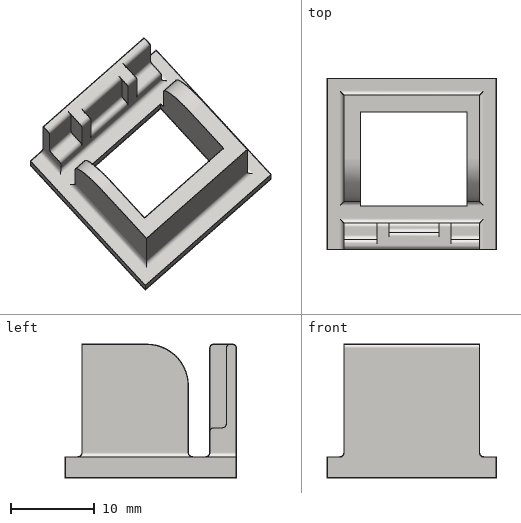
import cadquery as cq

width = 20.25
depth = 20.5
height = 16.0
plate_thickness = 2.52
radius = 0.5

margin = 2.0
housing_front = 5.75
wall_back = 2.03
wall_left = 2.0
wall_right = 1.52
shoulder_radius = 5.0

panel_depth = 3.2
ledge_height = 5.99
side_face = 1.2
centre_face = 2.07
left_rib_start = 5.99
rib_width = 1.41
rib_gap = 5.99

left = -width / 2
wall_x_min = left + margin
wall_x_max = -wall_x_min
wall_y_max = depth - margin
root_top = plate_thickness + radius


def across_section():
    """Wall outline in XZ, flaring into the plate on both sides."""
    outline = (
        cq.Workplane("XZ")
        .moveTo(wall_x_min - radius, 0)
        .lineTo(wall_x_min - radius, plate_thickness)
        .radiusArc((wall_x_min, root_top), -radius)
        .lineTo(wall_x_min, height)
        .lineTo(wall_x_max, height)
        .lineTo(wall_x_max, root_top)
        .radiusArc((wall_x_max + radius, plate_thickness), -radius)
        .lineTo(wall_x_max + radius, 0)
        .close()
    )
    return outline.extrude(-depth)


def make_housing():
    """Walls with rounded front shoulders; crossed prisms give mitred root fillets."""
    side = (
        cq.Workplane("YZ", origin=(left, 0, 0))
        .moveTo(housing_front - radius, 0)
        .lineTo(housing_front - radius, plate_thickness)
        .radiusArc((housing_front, root_top), -radius)
        .lineTo(housing_front, height - shoulder_radius)
        .radiusArc((housing_front + shoulder_radius, height), shoulder_radius)
        .lineTo(wall_y_max, height)
        .lineTo(wall_y_max, root_top)
        .radiusArc((wall_y_max + radius, plate_thickness), -radius)
        .lineTo(wall_y_max + radius, 0)
        .close()
        .extrude(width)
    )
    return side.intersect(across_section())


def make_opening():
    """Rectangular passage through the housing and the plate."""
    x_min = wall_x_min + wall_left
    x_max = wall_x_max - wall_right
    y_min = housing_front - radius
    y_max = wall_y_max - wall_back
    return cq.Workplane("XY").box(
        x_max - x_min, y_max - y_min, height, centered=False
    ).translate((x_min, y_min, 0))


def panel_strip(x_min, x_max, face):
    """Stretch of the panel whose upper inner face lies at Y = face."""
    outline = (
        cq.Workplane("YZ", origin=(x_min, 0, 0))
        .lineTo(panel_depth + radius, 0)
        .lineTo(panel_depth + radius, plate_thickness)
        .radiusArc((panel_depth, root_top), radius)
    )
    if face < panel_depth:
        outline = (
            outline.lineTo(panel_depth, ledge_height - radius)
            .radiusArc((panel_depth - radius, ledge_height), -radius)
            .lineTo(face + radius, ledge_height)
            .radiusArc((face, ledge_height + radius), radius)
        )
    return (
        outline.lineTo(face, height - radius)
        .radiusArc((face - radius, height), -radius)
        .lineTo(radius, height)
        .radiusArc((0, height - radius), -radius)
        .close()
        .extrude(x_max - x_min)
    )


def make_panel():
    """Front panel built from strips side by side, flared at both ends."""
    left_rib = left + left_rib_start
    gap_start = left_rib + rib_width
    right_rib = gap_start + rib_gap
    right_rib_end = right_rib + rib_width
    panel = panel_strip(left, left_rib, side_face)
    panel = panel.union(panel_strip(left_rib, gap_start, panel_depth))
    panel = panel.union(panel_strip(gap_start, right_rib, centre_face))
    panel = panel.union(panel_strip(right_rib, right_rib_end, panel_depth))
    panel = panel.union(panel_strip(right_rib_end, -left, side_face))
    return panel.intersect(across_section())


plate = cq.Workplane("XY").box(width, depth, plate_thickness, centered=False).translate((left, 0, 0))
result = plate.union(make_housing()).cut(make_opening()).union(make_panel())